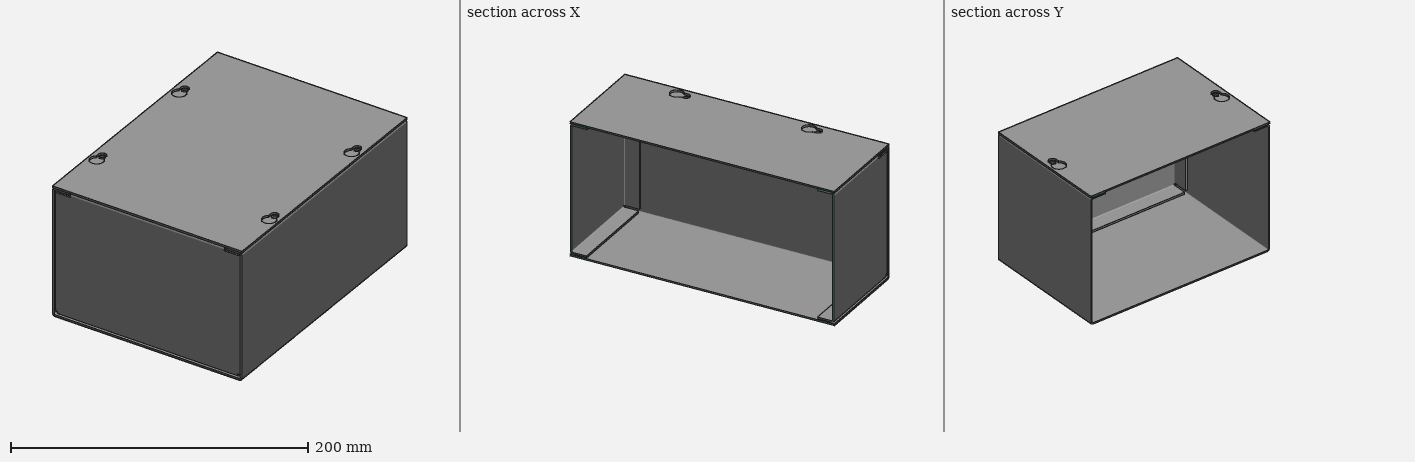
import cadquery as cq

width = 152.5
length = 203.2
wrap_height = 101.5
sheet = 1.5
bend_inner = 0.8
bend_outer = bend_inner + sheet

flange_width = 12.8
bolt_hole_diameter = 4.3

keyhole_inset = 7.0
keyhole_x = width / 2 - keyhole_inset
keyhole_y = 50.8
keyhole_slot_width = 6.0
keyhole_head_diameter = 10.4
keyhole_drop = 7.0

corner_clearance = 1.52
bottom_gap = 0.5
rim_depth = 12.8
panel_width = width - 2 * sheet
panel_bottom = sheet + bottom_gap
top_notch_drop = 2.8
top_rim_width = width - 2 * (flange_width + corner_clearance)

mount_points = [(sx * keyhole_x, sy * keyhole_y) for sx in (-1, 1) for sy in (-1, 1)]


def slab(size_x, size_y, size_z, bottom):
    """Block centred on X and Y, standing on the given height."""
    base = cq.Workplane("XY", origin=(0, 0, bottom))
    return base.box(size_x, size_y, size_z, centered=(True, True, False))


def make_wrapper():
    """Floor, two side walls and two top flanges folded from one sheet, open at both ends."""
    outer = slab(width, length, wrap_height, 0).edges("|Y").fillet(bend_outer)
    cavity = slab(width - 2 * sheet, length, wrap_height - 2 * sheet, sheet).edges("|Y").fillet(bend_inner)
    mouth = slab(width - 2 * flange_width, length, sheet, wrap_height - sheet)
    bolt_holes = (
        cq.Workplane("XY", origin=(0, 0, wrap_height - sheet))
        .pushPoints(mount_points)
        .circle(bolt_hole_diameter / 2)
        .extrude(sheet)
    )
    return outer.cut(cavity).cut(mouth).cut(bolt_holes)


def make_back_plate():
    """Flat plate on top of the wrapper with four keyholes."""
    plate = slab(width, length, sheet, wrap_height)
    for x, y in mount_points:
        base = cq.Workplane("XY", origin=(x, y, wrap_height))
        narrow_end = base.circle(keyhole_slot_width / 2).extrude(sheet)
        neck = base.center(0, -keyhole_drop / 2).rect(keyhole_slot_width, keyhole_drop).extrude(sheet)
        wide_end = base.center(0, -keyhole_drop).circle(keyhole_head_diameter / 2).extrude(sheet)
        plate = plate.cut(narrow_end).cut(neck).cut(wide_end)
    return plate


def make_end_panel(side):
    """Panel closing the -Y (side = -1) or +Y (side = 1) end, with a rim folded inwards on all four edges."""
    height = wrap_height - panel_bottom
    center_y = (rim_depth - length) / 2
    outer = slab(panel_width, rim_depth, height, panel_bottom).translate((0, center_y, 0))
    outer = outer.faces("<Y").edges().fillet(bend_outer)
    hollow = slab(panel_width - 2 * sheet, rim_depth, height - 2 * sheet, panel_bottom + sheet)
    hollow = hollow.translate((0, center_y + sheet, 0))
    hollow = hollow.faces("<Y").edges().fillet(bend_inner)
    panel = outer.cut(hollow)

    top_notch_width = (panel_width - top_rim_width) / 2
    top_notch = slab(top_notch_width, length, top_notch_drop, wrap_height - top_notch_drop)
    bottom_notch = slab(bend_outer, length, bend_outer, panel_bottom)
    for x_sign in (-1, 1):
        top_notch_x = x_sign * (panel_width - top_notch_width) / 2
        bottom_notch_x = x_sign * (panel_width - bend_outer) / 2
        panel = panel.cut(top_notch.translate((top_notch_x, center_y, 0)))
        panel = panel.cut(bottom_notch.translate((bottom_notch_x, center_y, 0)))

    if side > 0:
        panel = panel.mirror("XZ")
    return panel


wrapper = make_wrapper()
back_plate = make_back_plate()
end_panels = [make_end_panel(side) for side in (-1, 1)]

bodies = [wrapper, back_plate, *end_panels]

result = cq.Compound.makeCompound([body.solids().val() for body in bodies])